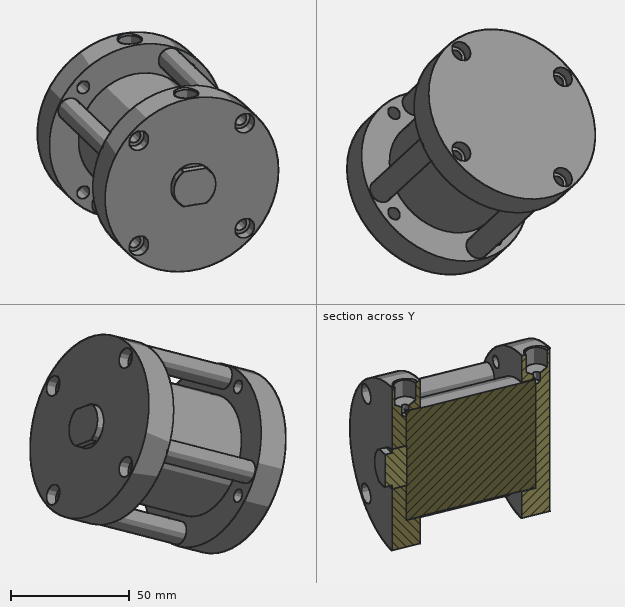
import cadquery as cq
import math

cap_diameter = 79.25
cap_thickness = 13.5
cap_gap = 47.7
rod_protrusion = 3.3
inner_face_x = cap_thickness
far_inner_face_x = inner_face_x + cap_gap
far_outer_face_x = far_inner_face_x + cap_thickness
mid_x = far_outer_face_x / 2
rod_end_x = far_outer_face_x + rod_protrusion

barrel_diameter = 52.8
barrel_recess = 6.6
barrel_start_x = inner_face_x - barrel_recess
barrel_end_x = far_inner_face_x + barrel_recess

pitch_radius = 34.15
corner_count = 4
corner_step = 360 / corner_count
tie_bar_diameter = 10.0
tie_bar_start_angle = 63.6
screw_hole_start_angle = 45.0
screw_hole_diameter = 5.6
counterbore_diameter = 8.7
counterbore_depth = 5.0

port_offset = 6.35
port_diameter = 9.7
port_depth = 8.7
port_chamfer = 0.7
drill_tip_angle = 118.0
passage_diameter = 3.1
passage_depth = 14.7

rod_diameter = 19.0
rod_flat_width = 16.0


def x_cylinder(diameter, start_x, end_x, y=0.0, z=0.0):
    """Cylinder parallel to X between two x positions."""
    return cq.Workplane("YZ", origin=(start_x, y, z)).circle(diameter / 2).extrude(end_x - start_x)


def pitch_circle_points(start_angle):
    """Four evenly spaced (y, z) points on the pitch circle."""
    angles = [math.radians(start_angle + corner_step * i) for i in range(corner_count)]
    return [(pitch_radius * math.cos(a), pitch_radius * math.sin(a)) for a in angles]


def make_port_cutter():
    """Chamfered port with conical floor, then a narrow passage with a drilled tip, turned about Z."""
    top_z = cap_diameter / 2
    port_radius = port_diameter / 2
    passage_radius = passage_diameter / 2
    tip_slope = math.tan(math.radians(drill_tip_angle / 2))
    floor_z = top_z - port_depth
    passage_top_z = floor_z - (port_radius - passage_radius) / tip_slope
    passage_end_z = top_z - passage_depth
    return (
        cq.Workplane("XZ", origin=(port_offset, 0, 0))
        .moveTo(0, top_z)
        .lineTo(port_radius + port_chamfer, top_z)
        .lineTo(port_radius, top_z - port_chamfer)
        .lineTo(port_radius, floor_z)
        .lineTo(passage_radius, passage_top_z)
        .lineTo(passage_radius, passage_end_z)
        .lineTo(0, passage_end_z - passage_radius / tip_slope)
        .close()
        .revolve(360, (0, 0, 0), (0, 1, 0))
    )


def make_blind_cap():
    """Round end cap at the closed end: barrel recess, counterbored screw holes and a fluid port."""
    cap = x_cylinder(cap_diameter, 0, cap_thickness)
    cap = cap.cut(x_cylinder(barrel_diameter, barrel_start_x, inner_face_x))
    for y, z in pitch_circle_points(screw_hole_start_angle):
        cap = cap.cut(x_cylinder(screw_hole_diameter, 0, cap_thickness, y, z))
        cap = cap.cut(x_cylinder(counterbore_diameter, 0, counterbore_depth, y, z))
    return cap.cut(make_port_cutter())


def make_rod_cap():
    """Mirror image of the blind cap, bored through for the piston rod."""
    cap = make_blind_cap().mirror("YZ", (mid_x, 0, 0))
    return cap.cut(x_cylinder(rod_diameter, barrel_end_x, far_outer_face_x))


def make_barrel():
    """Round barrel seated in the recesses of both caps."""
    return x_cylinder(barrel_diameter, barrel_start_x, barrel_end_x)


def make_piston_rod():
    """Round rod from the barrel end out through the rod cap, with flats above and below its tip."""
    rod = x_cylinder(rod_diameter, barrel_end_x, far_outer_face_x)
    flat_sides = cq.Workplane("XY", origin=(far_outer_face_x, 0, 0)).box(
        rod_protrusion, rod_diameter, rod_flat_width, centered=(False, True, True)
    )
    tip = x_cylinder(rod_diameter, far_outer_face_x, rod_end_x).intersect(flat_sides)
    return rod.union(tip)


def make_tie_bar(y, z):
    """Round bar spanning the gap between the caps."""
    return x_cylinder(tie_bar_diameter, inner_face_x, far_inner_face_x, y, z)


blind_cap = make_blind_cap()
rod_cap = make_rod_cap()
barrel = make_barrel()
piston_rod = make_piston_rod()
tie_bars = [make_tie_bar(y, z) for y, z in pitch_circle_points(tie_bar_start_angle)]

result = cq.Compound.makeCompound(
    [blind_cap.val(), rod_cap.val(), barrel.val(), piston_rod.val(), *[bar.val() for bar in tie_bars]]
)